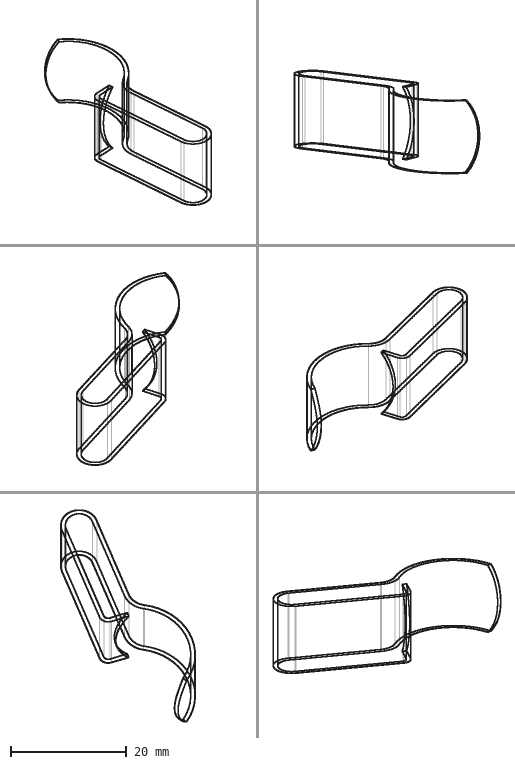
import cadquery as cq
import math

length = 41.15
depth = 13.5
width = 12.7
thickness = 0.8

hook_x = 9.4
hook_radius = 10.5
blend_radius = 3.37
loop_height = 6.35
tab_x = 17.27
tab_height = 4.8
tab_bend_radius = 1.6

tip_angle = 153.9
tip_spare_angle = 5.0
end_sagitta = 2.4
tip_cut_slope = 33.0

hook_y = depth - hook_radius
loop_radius = loop_height / 2
loop_x = length - loop_radius
blend_y = loop_height + blend_radius
center_distance = hook_radius + blend_radius
blend_angle = math.degrees(math.asin((blend_y - hook_y) / center_distance))
blend_x = hook_x + center_distance * math.cos(math.radians(blend_angle))


def polar(center, radius, degrees):
    """Point on a circle around the given centre."""
    angle = math.radians(degrees)
    return (center[0] + radius * math.cos(angle), center[1] + radius * math.sin(angle))


def make_strip():
    """Bent strip of constant thickness, with square ends."""
    hook_center = (hook_x, hook_y)
    blend_center = (blend_x, blend_y)
    hook_inner = hook_radius - thickness
    blend_outer = blend_radius + thickness
    tab_inner = tab_bend_radius - thickness
    tab_center = (tab_x + tab_bend_radius, tab_bend_radius)
    hook_middle = (tip_angle + blend_angle) / 2
    blend_middle = (180 + blend_angle + 270) / 2
    corner_middle = 225
    start_angle = tip_angle + tip_spare_angle
    return (
        cq.Workplane("XY")
        .moveTo(*polar(hook_center, hook_radius, start_angle))
        .threePointArc(
            polar(hook_center, hook_radius, hook_middle),
            polar(hook_center, hook_radius, blend_angle),
        )
        .threePointArc(polar(blend_center, blend_radius, blend_middle), (blend_x, loop_height))
        .lineTo(loop_x, loop_height)
        .threePointArc((length, loop_radius), (loop_x, 0))
        .lineTo(tab_center[0], 0)
        .threePointArc(polar(tab_center, tab_bend_radius, corner_middle), (tab_x, tab_center[1]))
        .lineTo(tab_x, tab_height)
        .lineTo(tab_x + thickness, tab_height)
        .lineTo(tab_x + thickness, tab_center[1])
        .threePointArc(polar(tab_center, tab_inner, corner_middle), (tab_center[0], thickness))
        .lineTo(loop_x, thickness)
        .threePointArc((length - thickness, loop_radius), (loop_x, loop_height - thickness))
        .lineTo(blend_x, loop_height - thickness)
        .threePointArc(
            polar(blend_center, blend_outer, blend_middle),
            polar(hook_center, hook_inner, blend_angle),
        )
        .threePointArc(
            polar(hook_center, hook_inner, hook_middle),
            polar(hook_center, hook_inner, start_angle),
        )
        .close()
        .extrude(width)
    )


def cut_tip(strip):
    """Trim the hook end to a convex arc across the strip width."""
    tip = polar((hook_x, hook_y), hook_radius, tip_angle)
    slope = math.radians(tip_cut_slope)
    cut_direction = cq.Vector(math.cos(slope), -math.sin(slope), 0)
    outward = cq.Vector(-math.sin(slope), -math.cos(slope), 0)
    cut_plane = cq.Plane(origin=(tip[0], tip[1], 0), xDir=outward, normal=cut_direction)
    z_sign = cut_plane.yDir.z
    reach = 4.1
    cutter = (
        cq.Workplane(cut_plane)
        .moveTo(-end_sagitta, 0)
        .threePointArc((0, z_sign * width / 2), (-end_sagitta, z_sign * width))
        .lineTo(reach, z_sign * width)
        .lineTo(reach, 0)
        .close()
        .extrude(reach / 2, both=True)
    )
    return strip.cut(cutter)


def cut_tab(strip):
    """Cut a concave arc into the free edge of the tab."""
    cutter = (
        cq.Workplane("YZ", origin=(tab_x, 0, 0))
        .moveTo(tab_height, 0)
        .threePointArc((tab_height - end_sagitta, width / 2), (tab_height, width))
        .close()
        .extrude(thickness)
    )
    return strip.cut(cutter)


result = cut_tab(cut_tip(make_strip()))